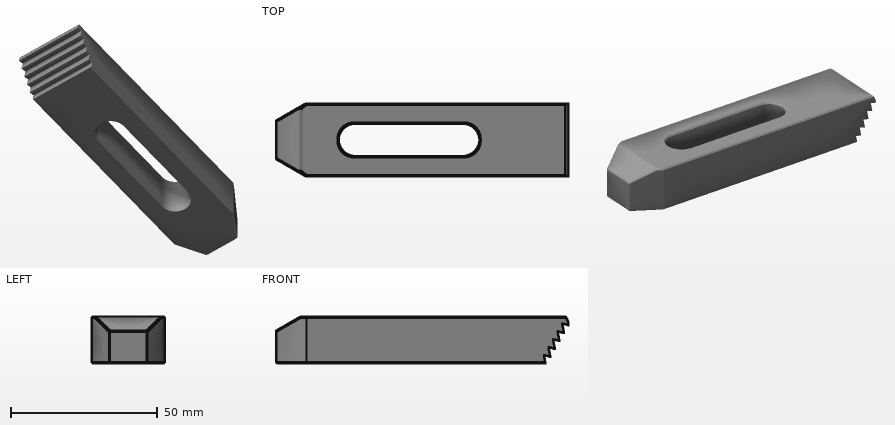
import cadquery as cq
import math

length = 100.0
width = 25.0
height = 16.0
edge_break = 0.5
nose_edge_break = 0.3
clearance = 1.0

taper_angle = math.radians(30)
top_taper_length = 8.6
side_taper_length = 10.4
top_taper_drop = top_taper_length * math.tan(taper_angle)
side_taper_inset = side_taper_length * math.tan(taper_angle)

slot_start = 21.5
slot_end = 69.5
slot_width = 11.0

tooth_count = 5
first_tip_drop = 3.0
tooth_drop = 2.7
tooth_setback = tooth_drop / math.tan(math.radians(60))
tooth_depth = 2.2
tooth_undercut = 0.6
face_lean = (tooth_depth - tooth_setback) / (tooth_drop + tooth_undercut)

heel_top_setback = 1.2
heel_middle_setback = 0.3


def tapered_bar():
    """Bar with a tapered nose and broken edges, still square at the heel."""
    profile = [
        (0, 0),
        (length, 0),
        (length, height),
        (top_taper_length, height),
        (0, height - top_taper_drop),
    ]
    side = cq.Workplane("XZ").polyline(profile).close().extrude(width / 2, both=True)
    half_width = width / 2
    nose_half_width = half_width - side_taper_inset
    plan = [
        (0, -nose_half_width),
        (side_taper_length, -half_width),
        (length, -half_width),
        (length, half_width),
        (side_taper_length, half_width),
        (0, nose_half_width),
    ]
    bar = side.intersect(cq.Workplane("XY").polyline(plan).close().extrude(height))

    slope_normal = cq.Vector(-math.sin(taper_angle), 0, math.cos(taper_angle))
    nose_edges = bar.faces(cq.selectors.ParallelDirSelector(slope_normal)).edges()
    nose_edges = nose_edges.add(bar.edges("|Z and <X"))
    bar = bar.newObject(nose_edges.vals()).chamfer(nose_edge_break)

    rim_edges = [
        edge
        for face in (bar.faces("<Z"), bar.faces(">Z"))
        for edge in face.edges("not |Y").vals()
    ]
    rim_edges += bar.faces("<Z").edges("|Y and <X").vals()
    return bar.newObject(rim_edges).chamfer(edge_break)


def slot_cutter():
    """Through slot with a chamfered mouth on the top face."""
    slot_length = slot_end - slot_start
    slot_middle = (slot_start + slot_end) / 2
    slot = cq.Workplane("XY").center(slot_middle, 0).slot2D(slot_length, slot_width).extrude(height)
    mouth = (
        cq.Workplane("XY", origin=(slot_middle, 0, height))
        .slot2D(slot_length + 2 * edge_break, slot_width + 2 * edge_break)
        .extrude(-edge_break, taper=45)
    )
    return slot.union(mouth)


def heel_cutter():
    """Everything behind the toothed heel."""
    outline = []
    for tooth in range(tooth_count):
        tip_x = length - tooth * tooth_setback
        tip_z = height - first_tip_drop - tooth * tooth_drop
        outline.append((tip_x, tip_z))
        outline.append((tip_x - tooth_depth, tip_z + tooth_undercut))
    root_x, root_z = outline[-1]
    outline.append((root_x + root_z * face_lean, 0))
    outline += [(length + clearance, 0), (length + clearance, height)]
    outline.append((length - heel_top_setback, height))
    heel_middle = (length - heel_middle_setback, height - first_tip_drop / 2)
    return (
        cq.Workplane("XZ")
        .polyline(outline)
        .threePointArc(heel_middle, outline[0])
        .close()
        .extrude(width, both=True)
    )


result = tapered_bar().cut(heel_cutter()).cut(slot_cutter())